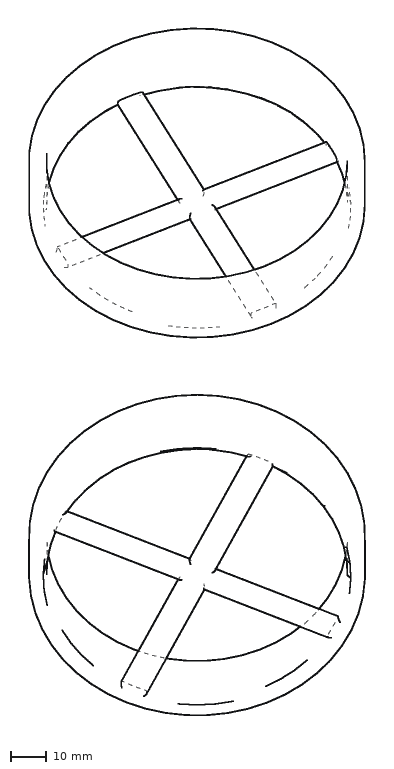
import cadquery as cq

outer_diameter = 95.5
inner_diameter = 85.5
ring_height = 22.0
ring_fillet = 1.0

x_bar_width = 8.0
y_bar_width = 7.1
bar_thickness = 2.3
bar_fillet = 0.8
bar_length = (outer_diameter + inner_diameter) / 2


def make_ring():
    """Plain ring with all four circular rims rounded."""
    ring = (
        cq.Workplane("XY")
        .circle(outer_diameter / 2)
        .circle(inner_diameter / 2)
        .extrude(ring_height)
    )
    return ring.faces("<Z or >Z").edges().fillet(ring_fillet)


def make_bar(length_x, length_y):
    """Flat bar centred on the ring axis, resting on the bottom plane."""
    return cq.Workplane("XY").rect(length_x, length_y).extrude(bar_thickness)


def make_cross():
    """Two crossed bars with rounded upper and lower edges."""
    cross = make_bar(bar_length, x_bar_width).union(make_bar(y_bar_width, bar_length))
    return cross.faces("<Z or >Z").edges().fillet(bar_fillet)


result = make_ring().union(make_cross())